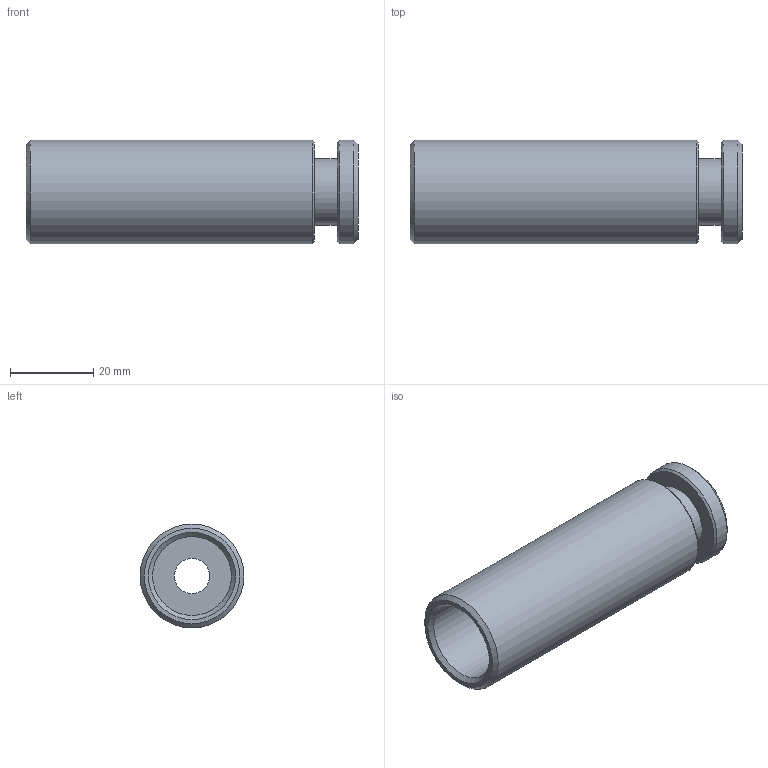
import cadquery as cq

length = 80.0
outer_diameter = 25.0

head_thickness = 5.0
neck_width = 5.5
neck_diameter = 16.0

bore_diameter = 19.0
through_hole_diameter = 8.5

end_chamfer = 1.0
groove_chamfer = 0.5

head_start = length - head_thickness
sleeve_length = head_start - neck_width
wall_thickness = (outer_diameter - bore_diameter) / 2
bore_depth = sleeve_length - wall_thickness


def cylinder(start, span, diameter):
    """Cylinder on the X axis, from x = start to x = start + span."""
    return cq.Workplane("YZ", origin=(start, 0, 0)).circle(diameter / 2).extrude(span)


def make_sleeve():
    sleeve = cylinder(0, sleeve_length, outer_diameter)
    sleeve = sleeve.faces("<X").chamfer(end_chamfer)
    return sleeve.faces(">X").chamfer(groove_chamfer)


def make_head():
    head = cylinder(head_start, head_thickness, outer_diameter)
    head = head.faces("<X").chamfer(groove_chamfer)
    return head.faces(">X").chamfer(end_chamfer)


def make_bore():
    """Blind bore with a conical lead-in at its mouth."""
    bore_radius = bore_diameter / 2
    profile = [
        (0, 0),
        (0, bore_radius + end_chamfer),
        (end_chamfer, bore_radius),
        (bore_depth, bore_radius),
        (bore_depth, 0),
    ]
    return cq.Workplane("XY").polyline(profile).close().revolve(360, (0, 0, 0), (1, 0, 0))


neck = cylinder(sleeve_length, neck_width, neck_diameter)
body = make_sleeve().union(neck).union(make_head())
through_hole = cylinder(0, length, through_hole_diameter)

result = body.cut(make_bore()).cut(through_hole)